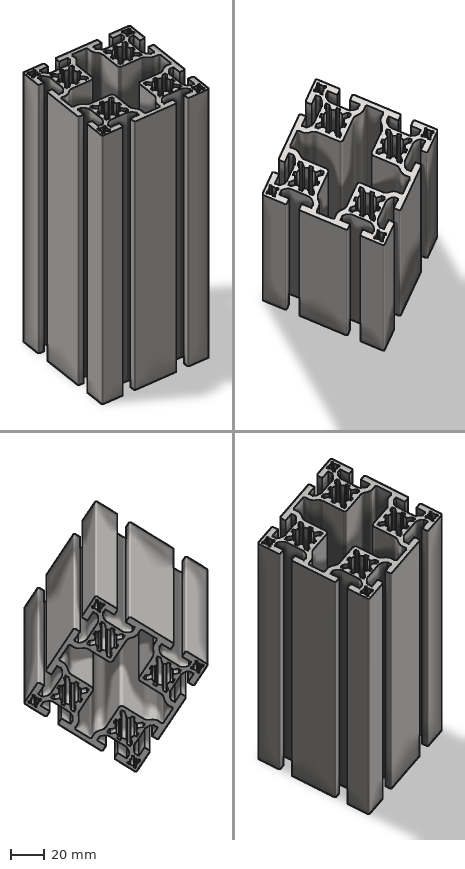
import cadquery as cq
import math

SIDE = 80.0
LENGTH = 200.0
EDGE_RADIUS = 1.0

MODULE = SIDE / 2
SLOT_OPENING = 8.2
SLOT_WIDTH = 21.0
SLOT_DEPTH = 10.2
LIP_THICKNESS = 4.2
SLOT_WALL_DEPTH = 7.0
SLOT_FLOOR_WIDTH = 12.0
SLOT_FLANK_RADIUS = 7.0

WALL_OUTER = 3.0
ARM_HALF_WIDTH = 9.4
NECK_HALF_WIDTH = 5.8
SHOULDER_START_DEPTH = 7.0
SHOULDER_END_DEPTH = 12.0
SHOULDER_RADIUS = 8.0
SHOULDER_BLEND_RADIUS = 5.0
ARM_END_RADIUS = 1.0
CORE_CORNER_RADIUS = 2.0

BORE_RADIUS = 6.65
BORE_SQUARE = 16.3
BORE_DIAGONAL_WIDTH = 2.9
BORE_NOTCH_WIDTH = 2.2

CORNER_HOLE_INSET = 4.7
CORNER_HOLE_RADIUS = 2.4
CORNER_HOLE_SQUARE = 5.6
CORNER_HOLE_DIAGONAL_WIDTH = 1.4

HALF = SIDE / 2
MODULE_CENTRE = MODULE / 2
QUARTER_TURNS = (0, 90, 180, 270)


def prism(width, depth):
    """Full-length rectangular bar centred on the Z axis."""
    return cq.Workplane("XY").rect(width, depth).extrude(LENGTH)


def about_axis(shape, angle):
    """Turn a shape about the Z axis."""
    return shape.rotate((0, 0, 0), (0, 0, 1), angle)


def slot_chamber():
    """Undercut of a T-slot behind its lips, with round flanks down to a flat floor; +Y side, at X = 0."""
    half_width = SLOT_WIDTH / 2
    half_floor = SLOT_FLOOR_WIDTH / 2
    lip_y = HALF - LIP_THICKNESS
    wall_y = HALF - SLOT_WALL_DEPTH
    floor_y = HALF - SLOT_DEPTH
    return (
        cq.Workplane("XY")
        .moveTo(-half_width, lip_y)
        .lineTo(half_width, lip_y)
        .lineTo(half_width, wall_y)
        .radiusArc((half_floor, floor_y), SLOT_FLANK_RADIUS)
        .lineTo(-half_floor, floor_y)
        .radiusArc((-half_width, wall_y), SLOT_FLANK_RADIUS)
        .close()
        .extrude(LENGTH)
    )


def slot_mouth():
    """Opening of a T-slot between its lips, on the +Y side and centred on X = 0."""
    mouth = prism(SLOT_OPENING, LIP_THICKNESS)
    return mouth.translate((0, HALF - LIP_THICKNESS / 2, 0))


def body_with_slots():
    """Square bar with eight T-slots; outer corners and lip edges are rounded."""
    body = prism(SIDE, SIDE)
    for angle in QUARTER_TURNS:
        for x in (-MODULE_CENTRE, MODULE_CENTRE):
            body = body.cut(about_axis(slot_mouth().translate((x, 0, 0)), angle))
    outer_sides = body.faces(">X or <X or >Y or <Y")
    return outer_sides.edges("|Z").fillet(EDGE_RADIUS)


def cavity_arm():
    """Arm of the central cavity, narrowing by round shoulders to a neck at the +Y wall."""
    arm_end = HALF - WALL_OUTER
    neck_y = HALF - SHOULDER_START_DEPTH
    shoulder_y = HALF - SHOULDER_END_DEPTH
    arm = (
        cq.Workplane("XY")
        .moveTo(-ARM_HALF_WIDTH, 0)
        .lineTo(ARM_HALF_WIDTH, 0)
        .lineTo(ARM_HALF_WIDTH, shoulder_y)
        .radiusArc((NECK_HALF_WIDTH, neck_y), SHOULDER_RADIUS)
        .lineTo(NECK_HALF_WIDTH, arm_end)
        .lineTo(-NECK_HALF_WIDTH, arm_end)
        .lineTo(-NECK_HALF_WIDTH, neck_y)
        .radiusArc((-ARM_HALF_WIDTH, shoulder_y), SHOULDER_RADIUS)
        .close()
        .extrude(LENGTH)
    )
    arm = arm.edges("|Z and >Y").fillet(ARM_END_RADIUS)
    for x in (-ARM_HALF_WIDTH, ARM_HALF_WIDTH):
        shoulder_end = cq.selectors.NearestToPointSelector((x, shoulder_y, LENGTH / 2))
        arm = arm.edges("|Z").edges(shoulder_end).fillet(SHOULDER_BLEND_RADIUS)
    return arm


def central_cavity():
    """Cross of four arms; the bar's core corners that point at the axis are rounded."""
    cavity = cavity_arm()
    for angle in QUARTER_TURNS[1:]:
        cavity = cavity.union(about_axis(cavity_arm(), angle))
    for x in (-ARM_HALF_WIDTH, ARM_HALF_WIDTH):
        for y in (-ARM_HALF_WIDTH, ARM_HALF_WIDTH):
            core_corner = cq.selectors.NearestToPointSelector((x, y, LENGTH / 2))
            cavity = cavity.edges("|Z").edges(core_corner).fillet(CORE_CORNER_RADIUS)
    return cavity


def toothed_hole(radius, square, diagonal_width):
    """Round hole with grooves running along both diagonals into the corners of a square."""
    diagonal = prism(square * math.sqrt(2), diagonal_width)
    grooves = about_axis(diagonal, 45).union(about_axis(diagonal, -45))
    grooves = grooves.intersect(prism(square, square))
    return cq.Workplane("XY").circle(radius).extrude(LENGTH).union(grooves)


def screw_bore():
    """Toothed bore with four extra notches on the module axes."""
    bore = toothed_hole(BORE_RADIUS, BORE_SQUARE, BORE_DIAGONAL_WIDTH)
    bore = bore.union(prism(BORE_SQUARE, BORE_NOTCH_WIDTH))
    return bore.union(prism(BORE_NOTCH_WIDTH, BORE_SQUARE))


def build_profile():
    """Slotted bar hollowed by the central cavity, the four bores and the four corner holes."""
    body = body_with_slots()
    for angle in QUARTER_TURNS:
        for x in (-MODULE_CENTRE, MODULE_CENTRE):
            body = body.cut(about_axis(slot_chamber().translate((x, 0, 0)), angle))
    body = body.cut(central_cavity())
    bore = screw_bore()
    corner_hole = toothed_hole(CORNER_HOLE_RADIUS, CORNER_HOLE_SQUARE, CORNER_HOLE_DIAGONAL_WIDTH)
    corner_centre = HALF - CORNER_HOLE_INSET
    for x_sign in (-1, 1):
        for y_sign in (-1, 1):
            body = body.cut(bore.translate((x_sign * MODULE_CENTRE, y_sign * MODULE_CENTRE, 0)))
            body = body.cut(corner_hole.translate((x_sign * corner_centre, y_sign * corner_centre, 0)))
    return body


result = build_profile()